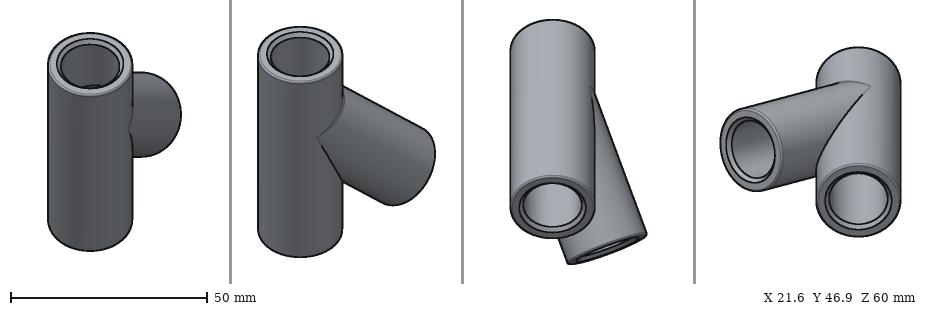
import cadquery as cq
import math

pipe_length = 60.0
outer_diameter = 21.6
bore_diameter = 14.95
rim_fillet = 0.5
bore_chamfer = 1.0
branch_length = 40.5
crossing_height = 40.5
branch_angle = 45.0
crotch_fillet = 2.0

outer_radius = outer_diameter / 2
crease_drop = outer_radius * math.tan(math.radians(branch_angle / 2))
crease_point = cq.Vector(0, outer_radius, crossing_height + crease_drop)


def solid_pipe(length):
    """Upright cylinder standing on the origin, with its top rim rounded."""
    return cq.Workplane("XY").circle(outer_radius).extrude(length).faces(">Z").fillet(rim_fillet)


def bore(length):
    """Upright bore from the origin, widening to a conical mouth at the top."""
    hole = cq.Workplane("XY").circle(bore_diameter / 2).extrude(length)
    mouth = (
        cq.Workplane("XY")
        .workplane(offset=length)
        .circle(bore_diameter / 2 + bore_chamfer)
        .workplane(offset=-bore_chamfer)
        .circle(bore_diameter / 2)
        .loft()
    )
    return hole.union(mouth)


def place_branch(body):
    """Tilt an upright body down toward +Y and move it to the axis crossing."""
    tilt = 180 - branch_angle
    return body.rotate((0, 0, 0), (1, 0, 0), -tilt).translate((0, 0, crossing_height))


main_pipe = solid_pipe(pipe_length).faces("<Z").fillet(rim_fillet)
body = main_pipe.union(place_branch(solid_pipe(branch_length)))

crease = min(body.edges().vals(), key=lambda edge: (edge.positionAt(0.5) - crease_point).Length)
body = body.newObject([crease]).fillet(crotch_fillet)

middle = pipe_length / 2
upper_bore = bore(middle).translate((0, 0, middle))
lower_bore = upper_bore.mirror("XY", (0, 0, middle))
result = body.cut(upper_bore).cut(lower_bore).cut(place_branch(bore(branch_length)))